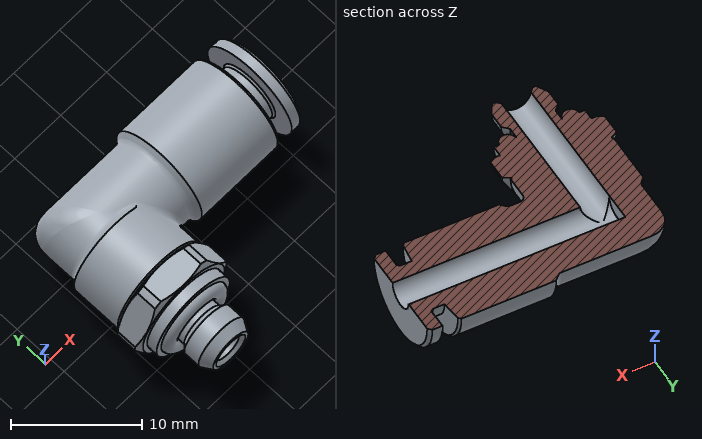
import cadquery as cq
import math


outer_corner_direction = 135
elbow_radius = 4.0
corner_tangent_ratio = 0.5
foot_round = 0.5

body_radius = 4.55
body_foot = 6.0
body_end = 15.0
body_chamfer = 0.2
body_end_cone_length = 0.2
body_end_cone_radius = 2.8
sleeve_neck_radius = 2.6
sleeve_flare_radius = 2.75
sleeve_flare_length = 0.2
flange_radius = 4.5
flange_start = 16.4
flange_end = 17.6
flange_chamfer = 0.3

collar_radius = 4.5
collar_foot = 1.2
collar_chamfer = 0.15
hex_start = 6.5
hex_end = 9.0
hex_across_flats = 9.0
hex_corner_radius = 5.0
hex_face_radius = 4.45
hex_chamfer_angle = math.radians(30)
seat_radius = 4.0
seat_end = 10.0
seal_outer_radius = 3.5
seal_height = 0.7
groove_radius = 2.0
groove_end = 11.0
thread_radius = 2.5
thread_end = 13.0
tip_end = 14.0
tip_angle = math.radians(30)

bore_radius = 1.25
bore_chamfer = 0.35


def turned_about_x(profile):
    """Revolve an XY profile, drawn as (station, radius), about the X axis."""
    return profile.close().revolve(360, (0, 0, 0), (1, 0, 0))


def to_threaded_arm(shape):
    """Turn a shape built along +X so that it lies along -Y."""
    return shape.rotate((0, 0, 0), (0, 0, 1), -90)


def cylinder_along_x(radius, start, end):
    return cq.Workplane("YZ").workplane(offset=start).circle(radius).extrude(end - start)


def stepped_profile(foot, top_radius):
    """Start a profile with the 45 degree step that rises from the elbow surface to top_radius."""
    return (
        cq.Workplane("XY")
        .moveTo(foot, 0)
        .lineTo(foot, elbow_radius)
        .lineTo(foot + top_radius - elbow_radius, top_radius)
    )


def make_sector(*directions):
    """Upright prism from the Z axis out to the given XY points, taller than the elbow."""
    return cq.Workplane("XY").polyline([(0, 0), *directions]).close().extrude(2 * elbow_radius, both=True)


def make_corner_ellipsoid():
    """Ellipsoid touching both arm cylinders along the upright planes through the tangent points."""
    along = elbow_radius * math.sqrt(1 + corner_tangent_ratio)
    across = elbow_radius * math.sqrt(1 - corner_tangent_ratio)
    stretch = cq.Matrix([[along, 0, 0, 0], [0, across, 0, 0], [0, 0, elbow_radius, 0]])
    unit_sphere = (
        cq.Workplane("XY").sphere(1).rotate((0, 0, 0), (0, 0, 1), 180).rotate((0, 0, 0), (1, 0, 0), 90)
    )
    ellipsoid = cq.Workplane(unit_sphere.val().transformGeometry(stretch))
    return ellipsoid.rotate((0, 0, 0), (0, 0, 1), outer_corner_direction)


def make_elbow():
    """Two mitred cylinders meeting the rounded corner along its tangent planes.

    The joins skip cleaning, here and below, so that the tangent seams stay as edges.
    """
    reach = 2 * elbow_radius
    offset = reach * corner_tangent_ratio
    tube_tangent = (-offset, reach)
    thread_tangent = (-reach, offset)
    inner_mitre = (reach, -reach)

    corner = make_corner_ellipsoid().intersect(make_sector(tube_tangent, (-reach, reach), thread_tangent))
    cylinder = cylinder_along_x(elbow_radius, -elbow_radius, body_foot + foot_round)
    tube_side = cylinder.intersect(make_sector(tube_tangent, (reach, reach), inner_mitre))
    thread_side = to_threaded_arm(cylinder).intersect(
        make_sector(thread_tangent, (-reach, -reach), inner_mitre)
    )
    return tube_side.union(thread_side, clean=False).union(corner, clean=False)


def make_tube_arm():
    flare_start = flange_start - sleeve_flare_length
    neck_start = body_end + body_end_cone_length
    profile = (
        stepped_profile(body_foot, body_radius)
        .lineTo(body_end - body_chamfer, body_radius)
        .lineTo(body_end, body_radius - body_chamfer)
        .lineTo(neck_start, body_end_cone_radius)
        .lineTo(neck_start, sleeve_neck_radius)
        .lineTo(flare_start, sleeve_neck_radius)
        .lineTo(flange_start, sleeve_flare_radius)
        .lineTo(flange_start, flange_radius)
        .lineTo(flange_end - flange_chamfer, flange_radius)
        .lineTo(flange_end, flange_radius - flange_chamfer)
        .lineTo(flange_end, 0)
    )
    return turned_about_x(profile)


def make_collar():
    profile = (
        stepped_profile(collar_foot, collar_radius)
        .lineTo(hex_start - collar_chamfer, collar_radius)
        .lineTo(hex_start, collar_radius - collar_chamfer)
        .lineTo(hex_start, 0)
    )
    return to_threaded_arm(turned_about_x(profile))


def make_rounded_body():
    """Elbow, tube arm and collar, rounded where the tube arm and the collar rise from the elbow."""
    body = make_elbow().union(make_tube_arm(), clean=False).union(make_collar(), clean=False)
    margin = 0.05
    reach = elbow_radius + margin
    body_foot_edge = cq.selectors.BoxSelector(
        (body_foot - margin, -reach, -reach), (body_foot + margin, reach, reach)
    )
    collar_foot_edge = cq.selectors.BoxSelector(
        (-reach, -collar_foot - margin, -reach), (0, -collar_foot + margin, reach)
    )
    inner_corner_edges = cq.selectors.BoxSelector(
        (collar_foot, -elbow_radius, -reach), (collar_radius - margin, -collar_foot - margin, reach)
    )
    return body.edges(body_foot_edge + collar_foot_edge + inner_corner_edges).fillet(foot_round)


def make_hex():
    """Hexagon with flats facing +Z and -Z, its corners turned round and chamfered."""
    corner_drop = (hex_corner_radius - hex_face_radius) * math.tan(hex_chamfer_angle)
    envelope = turned_about_x(
        cq.Workplane("XY")
        .moveTo(hex_start, 0)
        .lineTo(hex_start, hex_face_radius)
        .lineTo(hex_start + corner_drop, hex_corner_radius)
        .lineTo(hex_end - corner_drop, hex_corner_radius)
        .lineTo(hex_end, hex_face_radius)
        .lineTo(hex_end, 0)
    )
    across_corners = hex_across_flats / math.cos(math.pi / 6)
    hex_plane = cq.Workplane("YZ").workplane(offset=hex_start)
    prism = hex_plane.polygon(6, across_corners).extrude(hex_end - hex_start)
    return to_threaded_arm(envelope.intersect(prism))


def make_threaded_end():
    """Seat disc, bulging seal ring, groove, thread and tapered tip."""
    seal_middle_radius = (seal_outer_radius + groove_radius) / 2
    thread_start = groove_end + thread_radius - groove_radius
    tip_radius = thread_radius - (tip_end - thread_end) * math.tan(tip_angle)
    profile = (
        cq.Workplane("XY")
        .moveTo(hex_end, 0)
        .lineTo(hex_end, seat_radius)
        .lineTo(seat_end, seat_radius)
        .lineTo(seat_end, seal_outer_radius)
        .threePointArc((seat_end + seal_height, seal_middle_radius), (seat_end, groove_radius))
        .lineTo(groove_end, groove_radius)
        .lineTo(thread_start, thread_radius)
        .lineTo(thread_end, thread_radius)
        .lineTo(tip_end, tip_radius)
        .lineTo(tip_end, 0)
    )
    return to_threaded_arm(turned_about_x(profile))


def make_passage():
    """Bore running in from the threaded tip, turning at the elbow and leaving through the flange."""
    tip_bore = turned_about_x(
        cq.Workplane("XY")
        .lineTo(0, bore_radius)
        .lineTo(tip_end - bore_chamfer, bore_radius)
        .lineTo(tip_end, bore_radius + bore_chamfer)
        .lineTo(tip_end, 0)
    )
    tube_bore = cylinder_along_x(bore_radius, -bore_radius, flange_end)
    return tube_bore.union(to_threaded_arm(tip_bore))


result = (
    make_rounded_body()
    .union(make_hex(), clean=False)
    .union(make_threaded_end(), clean=False)
    .cut(make_passage(), clean=False)
    .solids()
)